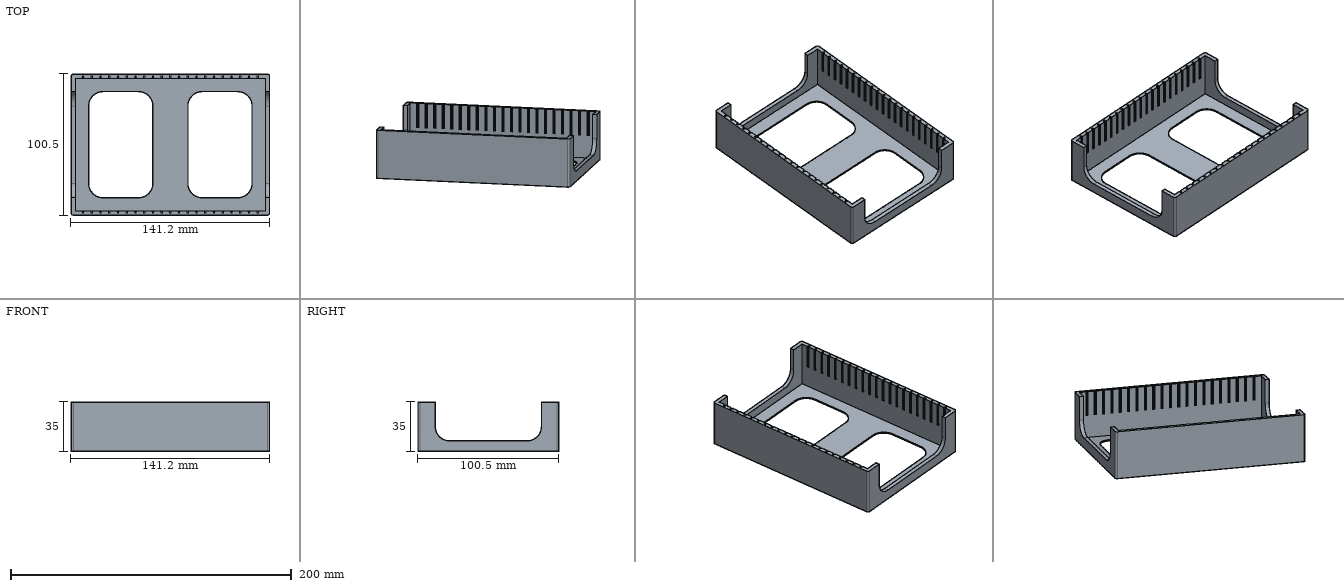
import cadquery as cq

length = 141.25
width = 100.5
height = 35.0
wall = 3.0
floor_thickness = 1.0
outer_corner_radius = 1.5

inner_length = length - 2 * wall
inner_width = width - 2 * wall

side_margin = width / 8
cutout_width = width - 2 * side_margin
cutout_sill_height = 7.5
cutout_corner_radius = 10.0

window_corner_radius = 10.0
window_width = cutout_width
window_length = length / 2 - 2 * side_margin
window_offset = length / 4

slot_count = 21
throat_width = 0.9
slot_depth = wall / 2
slot_height = height / 2
mouth_chamfer = 0.35
mouth_width = throat_width + 2 * mouth_chamfer
rib_width = (inner_length - slot_count * mouth_width) / (slot_count + 1)
slot_pitch = rib_width + mouth_width


def block(size_x, size_y, bottom, top):
    """Box centred on the Z axis, spanning from bottom to top."""
    return (
        cq.Workplane("XY")
        .workplane(offset=bottom)
        .rect(size_x, size_y)
        .extrude(top - bottom)
    )


def make_tray():
    outer = block(length, width, 0, height).edges("|Z").fillet(outer_corner_radius)
    return outer.cut(block(inner_length, inner_width, floor_thickness, height))


def make_end_cutouts():
    """One rounded block along the full length, opening both end walls."""
    opening = block(length, cutout_width, cutout_sill_height, height)
    return opening.edges("|X and <Z").fillet(cutout_corner_radius)


def make_floor_windows():
    return (
        cq.Workplane("XY")
        .pushPoints([(-window_offset, 0), (window_offset, 0)])
        .rect(window_length, window_width)
        .extrude(floor_thickness)
        .edges("|Z")
        .fillet(window_corner_radius)
    )


def make_divider_slot():
    """Cutter for one slot with a chamfered mouth, in the +Y wall at X = 0."""
    mouth_y = inner_width / 2
    throat_y = mouth_y + mouth_chamfer
    back_y = mouth_y + slot_depth
    half_mouth = mouth_width / 2
    half_throat = throat_width / 2
    profile = [
        (-half_mouth, mouth_y),
        (-half_throat, throat_y),
        (-half_throat, back_y),
        (half_throat, back_y),
        (half_throat, throat_y),
        (half_mouth, mouth_y),
    ]
    return (
        cq.Workplane("XY")
        .workplane(offset=height - slot_height)
        .polyline(profile)
        .close()
        .extrude(slot_height)
    )


def make_divider_slots():
    """Evenly spaced slots in the +Y wall, mirrored into the -Y wall."""
    slot = make_divider_slot()
    first_slot_x = -slot_pitch * (slot_count - 1) / 2
    row = cq.Workplane("XY")
    for index in range(slot_count):
        row.add(slot.translate((first_slot_x + index * slot_pitch, 0, 0)))
    row = row.combine()
    return row.union(row.mirror("XZ"))


result = (
    make_tray()
    .cut(make_end_cutouts())
    .cut(make_floor_windows())
    .cut(make_divider_slots())
)